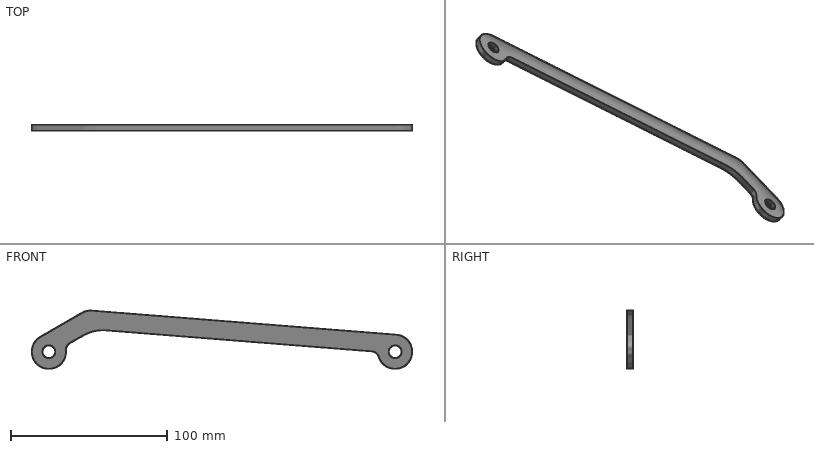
import cadquery as cq
import math

THICKNESS = 4.0
EYE_RADIUS = 11.0
HOLE_DIAMETER = 8.0
OVERALL_LENGTH = 243.38
OVERALL_HEIGHT = 37.42
SHORT_ARM_WIDTH = 13.0
LONG_ARM_WIDTH = 12.0
RISE_ANGLE = math.radians(30.0)
CREST_RADIUS = 10.0
BEND_RADIUS = 25.0
NECK_RADIUS = 5.0

EYE_SPACING = OVERALL_LENGTH - 2 * EYE_RADIUS
EYE_CENTERS = [(0.0, 0.0), (EYE_SPACING, 0.0)]

UPPER_OFFSET = EYE_RADIUS
SHORT_LOWER_OFFSET = EYE_RADIUS - SHORT_ARM_WIDTH
LONG_LOWER_OFFSET = EYE_RADIUS - LONG_ARM_WIDTH

RADIUS_STEP = EYE_RADIUS - CREST_RADIUS
CREST_Z = OVERALL_HEIGHT - EYE_RADIUS - CREST_RADIUS
CREST_X = (CREST_Z * math.cos(RISE_ANGLE) - RADIUS_STEP) / math.sin(RISE_ANGLE)
CREST_RUN = EYE_SPACING - CREST_X
FALL_ANGLE = math.atan2(CREST_Z, CREST_RUN) - math.asin(RADIUS_STEP / math.hypot(CREST_RUN, CREST_Z))


def edge_point(center_x, slope, offset):
    """Point at a distance from an eye centre, square to an arm of the given slope."""
    return (center_x - offset * math.sin(slope), offset * math.cos(slope))


def bend_corner(short_offset, long_offset):
    """Sharp corner where an edge of the short arm meets an edge of the long arm."""
    x0, z0 = edge_point(0.0, RISE_ANGLE, short_offset)
    x1, z1 = edge_point(EYE_SPACING, -FALL_ANGLE, long_offset)
    rise = math.tan(RISE_ANGLE)
    fall = math.tan(FALL_ANGLE)
    x = (z1 - z0 + rise * x0 + fall * x1) / (rise + fall)
    return (x, z0 + rise * (x - x0))


def neck_corner(center_x, slope, offset, side):
    """Point where the lower arm edge leaves an eye; side is +1 right or -1 left."""
    x, z = edge_point(center_x, slope, offset)
    run = side * math.sqrt(EYE_RADIUS**2 - offset**2)
    return (x + run * math.cos(slope), z + run * math.sin(slope))


def back_face():
    """Sketch plane on the +Y face; extruding runs toward -Y and leaves the link centred on Y = 0."""
    return cq.Workplane("XZ", origin=(0.0, THICKNESS / 2, 0.0))


def make_arm():
    outline = [
        edge_point(0.0, RISE_ANGLE, UPPER_OFFSET),
        bend_corner(UPPER_OFFSET, UPPER_OFFSET),
        edge_point(EYE_SPACING, -FALL_ANGLE, UPPER_OFFSET),
        edge_point(EYE_SPACING, -FALL_ANGLE, LONG_LOWER_OFFSET),
        bend_corner(SHORT_LOWER_OFFSET, LONG_LOWER_OFFSET),
        edge_point(0.0, RISE_ANGLE, SHORT_LOWER_OFFSET),
    ]
    return back_face().polyline(outline).close().extrude(THICKNESS)


def make_eyes():
    return back_face().pushPoints(EYE_CENTERS).circle(EYE_RADIUS).extrude(THICKNESS)


def round_corner(body, corner, radius):
    """Round the through-thickness edge standing at an (x, z) corner."""
    x, z = corner
    return body.edges("|Y").edges(cq.NearestToPointSelector((x, 0.0, z))).fillet(radius)


def drill_eyes(body):
    holes = back_face().pushPoints(EYE_CENTERS).circle(HOLE_DIAMETER / 2)
    return body.cut(holes.extrude(THICKNESS))


link = make_arm().union(make_eyes())
link = round_corner(link, bend_corner(UPPER_OFFSET, UPPER_OFFSET), CREST_RADIUS)
link = round_corner(link, bend_corner(SHORT_LOWER_OFFSET, LONG_LOWER_OFFSET), BEND_RADIUS)
link = round_corner(link, neck_corner(0.0, RISE_ANGLE, SHORT_LOWER_OFFSET, 1), NECK_RADIUS)
link = round_corner(link, neck_corner(EYE_SPACING, -FALL_ANGLE, LONG_LOWER_OFFSET, -1), NECK_RADIUS)
result = drill_eyes(link)